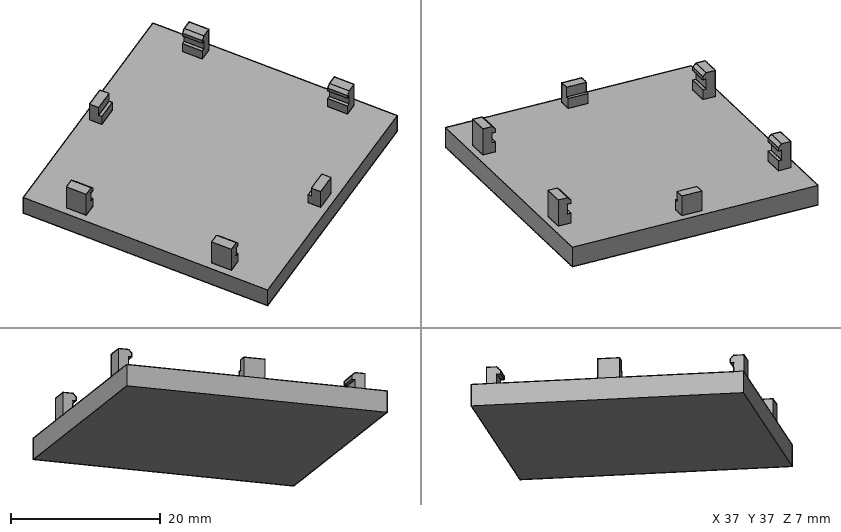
import cadquery as cq

plate_side = 37.0
plate_thickness = 3.0

clip_width = 3.0
edge_inset = 1.0
foot_depth = 1.9
stem_depth = 1.4
foot_height = 1.5

hook_clip_height = 4.0
hook_underside = 3.0
hook_chamfer = foot_depth - stem_depth
hook_clip_offset = 11.0

stepped_clip_height = 3.0

stepped_profile = [
    (0, 0),
    (foot_depth, 0),
    (foot_depth, foot_height),
    (stem_depth, foot_height),
    (stem_depth, stepped_clip_height),
    (0, stepped_clip_height),
]
hooked_profile = [
    (0, 0),
    (foot_depth, 0),
    (foot_depth, foot_height),
    (stem_depth, foot_height),
    (stem_depth, hook_underside),
    (foot_depth, hook_underside),
    (foot_depth, hook_clip_height - hook_chamfer),
    (foot_depth - hook_chamfer, hook_clip_height),
    (0, hook_clip_height),
]


def make_clip(profile, edge_offset, angle):
    """Clip on the -X edge, shifted along that edge, then turned about Z."""
    outer_face = -plate_side / 2 + edge_inset
    return (
        cq.Workplane("XZ")
        .polyline(profile)
        .close()
        .extrude(clip_width / 2, both=True)
        .translate((outer_face, edge_offset, plate_thickness))
        .rotate((0, 0, 0), (0, 0, 1), angle)
    )


result = cq.Workplane("XY").box(
    plate_side, plate_side, plate_thickness, centered=(True, True, False)
)

for angle in (0, 180):
    result = result.union(make_clip(stepped_profile, 0, angle))

for angle in (90, 270):
    for offset in (-hook_clip_offset, hook_clip_offset):
        result = result.union(make_clip(hooked_profile, offset, angle))